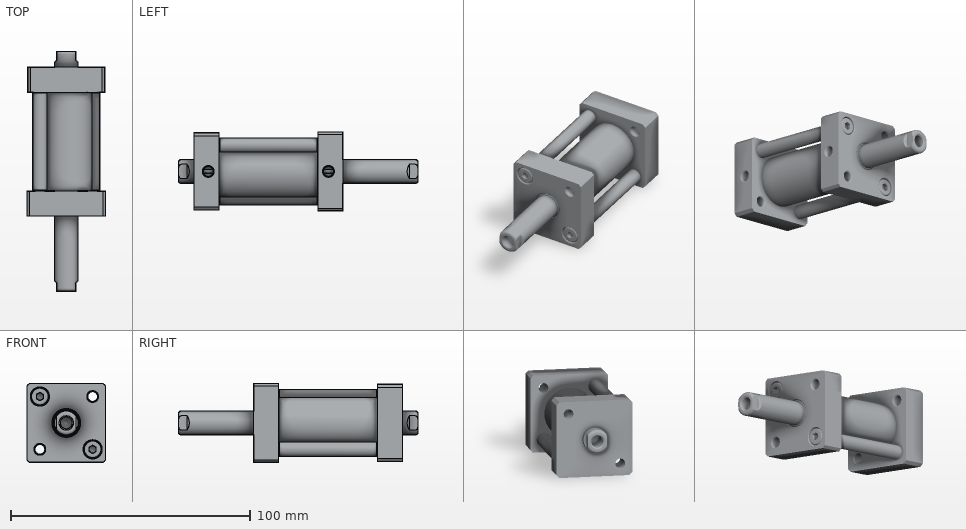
import cadquery as cq
import math


rod_length = 100.2
front_stickout = 31.5
front_cap_length = 10.4
barrel_gap = 0.1
barrel_length = 41.2
rear_cap_length = 10.5
barrel_start = front_cap_length + barrel_gap
rear_cap_start = barrel_start + barrel_length

front_cap_side = 33.0
front_corner_circle = 45.1
rear_cap_side = 32.4
rear_corner_chamfer = 1.3
bolt_offset = 11.0
bolt_spots = [(-bolt_offset, bolt_offset), (bolt_offset, -bolt_offset)]
mount_spots = [(bolt_offset, bolt_offset), (-bolt_offset, -bolt_offset)]

tapped_diameter = 4.1
tapped_rim_diameter = 4.9
port_from_outer_face = 6.0
port_depth = 6.0
drill_tip_angle = 118.0
port_bar_diameter = 1.7
port_bar_length = 6.0

barrel_diameter = 21.3
bore_diameter = 20.0

rod_diameter = 10.0
rod_end_face_diameter = 7.5
rod_end_radius = (rod_diameter - rod_end_face_diameter) / 2
flat_width = 8.0
flat_length = 3.6
rod_hole_diameter = 4.9
rod_hole_rim_diameter = 6.0
rod_hole_depth = 10.0

wiper_diameter = 11.4
wiper_rim_diameter = 12.0
wiper_lip_diameter = 10.5
wiper_length = 2.0

sleeve_diameter = 6.0
sleeve_chamfer = 0.3
shank_diameter = 4.1
shank_depth = 8.0
head_diameter = 7.0
head_face_diameter = 6.0
head_edge_radius = (head_diameter - head_face_diameter) / 2
head_height = 4.0
counterbore_diameter = 7.5
counterbore_rim_diameter = 8.0
counterbore_depth = 4.2
socket_width = 3.0
socket_depth = 2.0


def disc(diameter, y_start, length, x=0, z=0):
    """Cylinder along +Y."""
    start = cq.Vector(x, y_start, z)
    return cq.Workplane(cq.Solid.makeCylinder(diameter / 2, length, start, cq.Vector(0, 1, 0)))


def cone(start_diameter, end_diameter, length, start, direction):
    """Truncated cone from a start point along a direction."""
    solid = cq.Solid.makeCone(
        start_diameter / 2, end_diameter / 2, length, cq.Vector(*start), cq.Vector(*direction)
    )
    return cq.Workplane(solid)


def rim(outer_diameter, inner_diameter, start, direction):
    """Cutter for a 45 degree chamfer at the mouth of a hole."""
    depth = (outer_diameter - inner_diameter) / 2
    return cone(outer_diameter, inner_diameter, depth, start, direction)


def drill_tip(diameter, start, direction):
    """Conical bottom of a drilled hole."""
    length = diameter / 2 / math.tan(math.radians(drill_tip_angle / 2))
    return cone(diameter, 0, length, start, direction)


def cut_mounting_holes(cap, y_start, length):
    """Tapped through holes, chamfered on the face that looks to -Y."""
    for x, z in mount_spots:
        cap = cap.cut(disc(tapped_diameter, y_start, length, x, z))
        cap = cap.cut(rim(tapped_rim_diameter, tapped_diameter, (x, y_start, z), (0, 1, 0)))
    return cap


def cut_port(cap, cap_side, y):
    """Air port in the -X side, with a conical bottom crossed by a bar."""
    mouth = (-cap_side / 2, y, 0)
    bottom = (-cap_side / 2 + port_depth, y, 0)
    inward = (1, 0, 0)
    drill = cq.Solid.makeCylinder(
        tapped_diameter / 2, port_depth, cq.Vector(*mouth), cq.Vector(*inward)
    )
    cap = cap.cut(cq.Workplane(drill))
    cap = cap.cut(rim(tapped_rim_diameter, tapped_diameter, mouth, inward))
    cap = cap.cut(drill_tip(tapped_diameter, bottom, inward))
    return cap.union(disc(port_bar_diameter, y - port_bar_length / 2, port_bar_length, bottom[0]))


def make_front_cap():
    cap = cq.Workplane().box(
        front_cap_side, front_cap_length, front_cap_side, centered=(True, False, True)
    )
    cap = cap.intersect(disc(front_corner_circle, 0, front_cap_length))
    cap = cap.cut(disc(rod_diameter, 0, front_cap_length))
    cap = cap.cut(disc(wiper_diameter, 0, wiper_length))
    cap = cap.cut(rim(wiper_rim_diameter, wiper_diameter, (0, 0, 0), (0, 1, 0)))
    for x, z in bolt_spots:
        cap = cap.cut(disc(shank_diameter, 0, front_cap_length, x, z))
        cap = cap.cut(disc(counterbore_diameter, 0, counterbore_depth, x, z))
        cap = cap.cut(rim(counterbore_rim_diameter, counterbore_diameter, (x, 0, z), (0, 1, 0)))
    cap = cut_mounting_holes(cap, 0, front_cap_length)
    return cut_port(cap, front_cap_side, port_from_outer_face)


def make_rear_cap():
    cap = cq.Workplane().box(
        rear_cap_side, rear_cap_length, rear_cap_side, centered=(True, False, True)
    )
    cap = cap.edges("|Y").chamfer(rear_corner_chamfer)
    cap = cap.translate((0, rear_cap_start, 0))
    cap = cap.cut(disc(rod_diameter, rear_cap_start, rear_cap_length))
    for x, z in bolt_spots:
        cap = cap.cut(disc(shank_diameter, rear_cap_start, shank_depth, x, z))
    cap = cut_mounting_holes(cap, rear_cap_start, rear_cap_length)
    port_y = rear_cap_start + rear_cap_length - port_from_outer_face
    return cut_port(cap, rear_cap_side, port_y)


def make_barrel():
    tube = disc(barrel_diameter, barrel_start, barrel_length)
    return tube.cut(disc(bore_diameter, barrel_start, barrel_length))


def rod_flat_cutter(end_y, inward, side):
    """Wrench flat on one side of a rod end, running out at 45 degrees."""
    flat = side * flat_width / 2
    clear = side * rod_diameter
    runout = rod_diameter - flat_width / 2
    return (
        cq.Workplane("XY", origin=(0, 0, -rod_diameter / 2))
        .moveTo(flat, end_y)
        .lineTo(flat, end_y + inward * flat_length)
        .lineTo(clear, end_y + inward * (flat_length + runout))
        .lineTo(clear, end_y)
        .close()
        .extrude(rod_diameter)
    )


def make_rod():
    front_end = -front_stickout
    rear_end = front_end + rod_length
    rod = disc(rod_diameter, front_end, rod_length)
    rod = rod.faces("<Y or >Y").edges().fillet(rod_end_radius)
    for end_y, inward in [(front_end, 1), (rear_end, -1)]:
        for side in (-1, 1):
            rod = rod.cut(rod_flat_cutter(end_y, inward, side))
        mouth = (0, end_y, 0)
        bottom_y = end_y + inward * rod_hole_depth
        direction = (0, inward, 0)
        rod = rod.cut(disc(rod_hole_diameter, min(end_y, bottom_y), rod_hole_depth))
        rod = rod.cut(rim(rod_hole_rim_diameter, rod_hole_diameter, mouth, direction))
        rod = rod.cut(drill_tip(rod_hole_diameter, (0, bottom_y, 0), direction))
    return rod


def make_wiper():
    """Ring around the rod whose outer edge slopes back from its lip."""
    slope = (wiper_diameter - wiper_lip_diameter) / 2
    lip = cone(wiper_lip_diameter, wiper_diameter, slope, (0, 0, 0), (0, 1, 0))
    ring = lip.union(disc(wiper_diameter, slope, wiper_length - slope))
    return ring.cut(disc(rod_diameter, 0, wiper_length))


def make_tie_bolt(x, z):
    """Socket head in the front cap, shank through both caps, sleeve between them."""
    head_y = counterbore_depth - head_height
    head = disc(head_diameter, head_y, head_height, x, z)
    head = head.faces("<Y").edges().fillet(head_edge_radius)
    socket = (
        cq.Workplane("XZ", origin=(x, head_y, z))
        .polygon(6, socket_width, circumscribed=True)
        .extrude(-socket_depth)
    )
    head = head.cut(socket)
    head = head.cut(drill_tip(socket_width, (x, head_y + socket_depth, z), (0, 1, 0)))
    shank_length = rear_cap_start + shank_depth - counterbore_depth
    shank = disc(shank_diameter, counterbore_depth, shank_length, x, z)
    sleeve = disc(sleeve_diameter, barrel_start, barrel_length, x, z)
    sleeve = sleeve.faces("<Y or >Y").edges().chamfer(sleeve_chamfer)
    return head.union(shank).union(sleeve)


front_cap = make_front_cap()
rear_cap = make_rear_cap()
barrel = make_barrel()
rod = make_rod()
wiper = make_wiper()
tie_bolts = [make_tie_bolt(x, z) for x, z in bolt_spots]

result = cq.Compound.makeCompound(
    [front_cap.val(), rear_cap.val(), barrel.val(), rod.val(), wiper.val()]
    + [bolt.val() for bolt in tie_bolts]
)